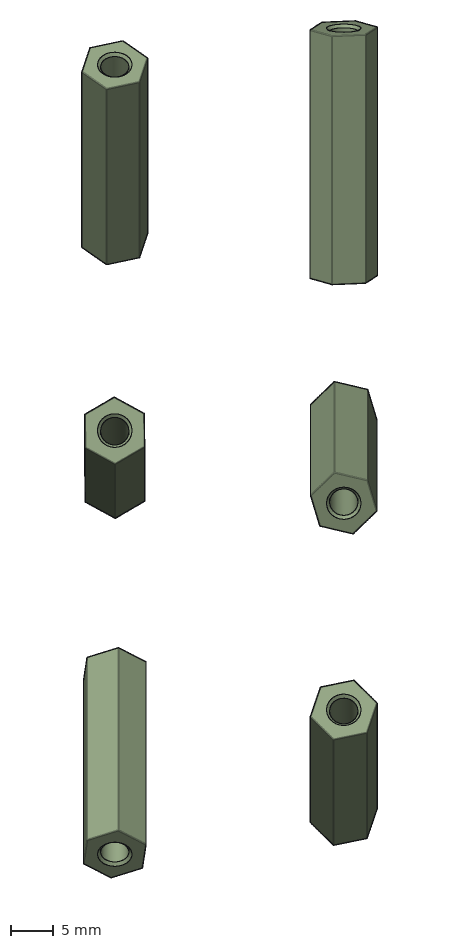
import cadquery as cq
import math

length = 30.0
across_flats = 7.0
across_corners = across_flats / math.cos(math.radians(30))
edge_fillet = 0.1

bore_diameter = 3.3
countersink_diameter = 4.02
countersink_depth = (countersink_diameter - bore_diameter) / 2


def hexagonal_bar():
    """Hexagonal bar with two corners on the X axis and every outer edge rounded."""
    bar = cq.Workplane("XY").polygon(6, across_corners).extrude(length)
    return bar.edges().fillet(edge_fillet)


def countersunk_bore():
    """Bore along Z, as a revolved profile that widens in a 45 degree cone at both ends."""
    bore_radius = bore_diameter / 2
    mouth_radius = countersink_diameter / 2
    return (
        cq.Workplane("XZ")
        .moveTo(0, 0)
        .lineTo(mouth_radius, 0)
        .lineTo(bore_radius, countersink_depth)
        .lineTo(bore_radius, length - countersink_depth)
        .lineTo(mouth_radius, length)
        .lineTo(0, length)
        .close()
        .revolve(360, (0, 0, 0), (0, 1, 0))
    )


result = hexagonal_bar().cut(countersunk_bore())